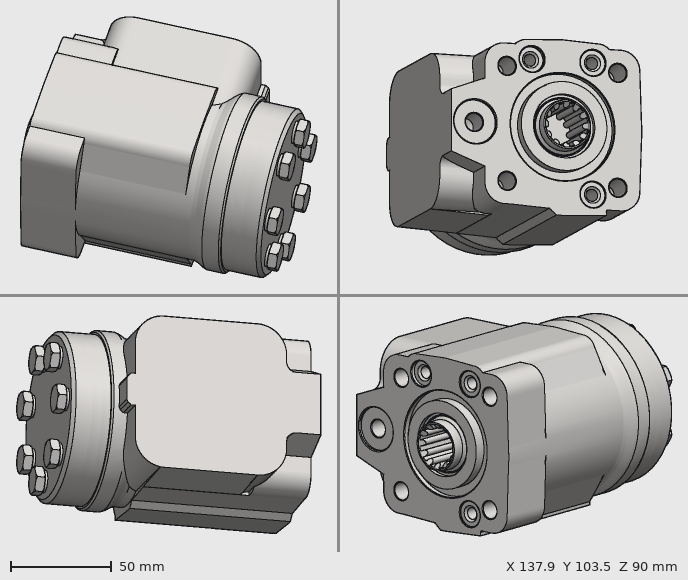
import cadquery as cq
import math


front_block_length = 28.4
pad_end = 83.2
neck_start = 87.5
cone_start = 89.8
cone_start_radius = 42.5
cone_end = 93.4
cone_end_radius = 44.5
flange_start = 94.8
housing_end = 104.3
barrel_radius = 41.8
flange_radius = 90.0 / 2
flange_chamfer = 1.0

block_half = 40.7
block_corner_radius = 10.0
side_flat_half = 4.5

top_pad_ridge = 44.1
top_pad_edge = (18.5, 43.2)
top_pad_shoulder = (23.5, 41.7)
top_pad_flank_top = (26.2, 38.0)
top_pad_foot_z = 25.1
bottom_pad_ridge = 44.8
bottom_pad_step_y = 23.0
bottom_pad_step_z = 43.5
bottom_pad_flank_top = (23.0, 41.7)
bottom_pad_foot_z = 26.6
bottom_pad_inner_top = (3.2, 44.8)
bottom_pad_inner_foot = (6.9, 41.7)
bottom_pad_inner_end = (27.6, 40.7)

port_face_y = 103.5 - flange_radius
port_half_height = 39.3
port_start = 17.8
port_end = 96.1
port_corner_radius = 14.9
port_wedge_root_z = 41.8
arm_tip_half = 15.7
arm_root_half = 22.3
arm_fillet = 5.1
tab_bevel = (98.3, 8.3)
tab_bevel_middle = (99.9, 6.9)
tab_tip = (100.5, 5.5)

mount_spacing = 58.2
mount_diameter = 9.0
mount_chamfer = 0.4
mount_depth = 19.3
screw_y = 16.0
screw_z = 33.4
screw_recess_diameter = 13.0
screw_recess_chamfer = 0.4
screw_recess_depth = 2.3
shallow_screw_recess_depth = 0.7
screw_hole_mouth = 8.4
screw_hole_diameter = 6.0
screw_depth = 19.3
plug_y = 45.8
plug_recess_diameter = 22.0
plug_recess_mouth = 23.0
plug_recess_depth = 1.7
plug_hole_diameter = 9.0
plug_hole_chamfer = 0.4
plug_depth = 16.5
drill_point_angle = 118.0

boss_height = 2.5
boss_diameter = 45.0
ring_recess_diameter = 55.2
ring_recess_depth = 3.5
ring_recess_chamfer = 0.4
seat_mouth_diameter = 32.3
seat_mouth_depth = 2.5
seat_clearance_diameter = 29.7
seat_clearance_depth = 1.4

shaft_diameter = 25.4
shaft_front = -7.3
shaft_back = 27.6
shaft_taper_length = 2.3
shaft_taper_radial = 0.4
collar_diameter = 28.4
spline_root_diameter = 22.0
spline_mouth_diameter = 23.0
spline_tip_diameter = 17.7
spline_tooth_width = 3.2
spline_count = 12
bore_depth = 27.6

pack_diameter = 86.0
spacer_end = 108.5
gear_ring_end = 113.8
cover_end = 124.3
cover_chamfer = 1.9
bolt_count = 7
bolt_circle_radius = 32.1
bolt_collar_diameter = 11.5
bolt_collar_end = 125.8
bolt_head_flats = 13.0
bolt_end = 130.6
bolt_edge_chamfer = 0.7


def barrel_y(z):
    """Distance from the XZ plane to the barrel surface at a height z."""
    return math.sqrt(barrel_radius**2 - z**2)


def cylinder_x(diameter, start, end, y=0.0, z=0.0):
    """Round bar parallel to X between two axial positions."""
    return cq.Workplane("YZ", origin=(start, y, z)).circle(diameter / 2).extrude(end - start)


def cone_x(start_diameter, end_diameter, start, end, y=0.0, z=0.0):
    """Cone frustum parallel to X; an end diameter of zero gives a point."""
    profile = [(start, 0), (start, start_diameter / 2), (end, end_diameter / 2)]
    if end_diameter > 0:
        profile.append((end, 0))
    cone = cq.Workplane("XY").polyline(profile).close().revolve(360, (0, 0, 0), (1, 0, 0))
    return cone.translate((0, y, z))


def drilled_hole(diameter, start, end, y, z):
    """Blind hole with a conical drill point past its full-diameter depth."""
    point_length = diameter / 2 / math.tan(math.radians(drill_point_angle / 2))
    point = cone_x(diameter, 0, end, end + point_length, y, z)
    return cylinder_x(diameter, start, end, y, z).union(point)


def make_barrel():
    profile = [
        (0, 0),
        (0, barrel_radius),
        (neck_start, barrel_radius),
        (cone_start, cone_start_radius),
        (cone_end, cone_end_radius),
        (flange_start, flange_radius),
        (housing_end - flange_chamfer, flange_radius),
        (housing_end, flange_radius - flange_chamfer),
        (housing_end, 0),
    ]
    return cq.Workplane("XY").polyline(profile).close().revolve(360, (0, 0, 0), (1, 0, 0))


def make_front_block():
    square = (
        cq.Workplane("YZ")
        .rect(2 * block_half, 2 * block_half)
        .extrude(front_block_length)
        .edges("|X")
        .fillet(block_corner_radius)
    )
    corner_z = block_half - block_corner_radius
    bulge_y = -barrel_y(side_flat_half)
    bulge = (
        cq.Workplane("YZ")
        .polyline([
            (-block_half, corner_z),
            (bulge_y, side_flat_half),
            (bulge_y, -side_flat_half),
            (-block_half, -corner_z),
        ])
        .close()
        .extrude(front_block_length)
    )
    return square.union(bulge)


def make_top_pad():
    foot = (barrel_y(top_pad_foot_z), top_pad_foot_z)

    def left(point):
        return (-point[0], point[1])

    return (
        cq.Workplane("YZ")
        .moveTo(*left(foot))
        .lineTo(*left(top_pad_flank_top))
        .threePointArc(left(top_pad_shoulder), left(top_pad_edge))
        .lineTo(0, top_pad_ridge)
        .lineTo(*top_pad_edge)
        .threePointArc(top_pad_shoulder, top_pad_flank_top)
        .lineTo(*foot)
        .close()
        .extrude(pad_end)
    )


def make_bottom_pad():
    return (
        cq.Workplane("YZ")
        .polyline([
            (-barrel_y(bottom_pad_foot_z), -bottom_pad_foot_z),
            (-bottom_pad_flank_top[0], -bottom_pad_flank_top[1]),
            (-bottom_pad_step_y, -bottom_pad_step_z),
            (0, -bottom_pad_ridge),
            (bottom_pad_inner_top[0], -bottom_pad_inner_top[1]),
            (bottom_pad_inner_foot[0], -bottom_pad_inner_foot[1]),
            (bottom_pad_inner_end[0], -bottom_pad_inner_end[1]),
            (bottom_pad_inner_end[0], -bottom_pad_foot_z),
        ])
        .close()
        .extrude(pad_end)
    )


def make_port_block():
    """Round-cornered block with a shallow wedge under it, thickest at the shaft axis."""
    block = (
        cq.Workplane("XZ", origin=((port_start + port_end) / 2, 0, 0))
        .rect(port_end - port_start, 2 * port_half_height)
        .extrude(-port_face_y)
        .edges("|Y")
        .fillet(port_corner_radius)
    )
    wedge_start = port_start + port_corner_radius
    wedge = (
        cq.Workplane("YZ", origin=(wedge_start, 0, 0))
        .polyline([
            (0, 0),
            (0, -port_wedge_root_z),
            (port_face_y, -port_half_height),
        ])
        .close()
        .extrude(pad_end - wedge_start)
    )
    return block.union(wedge)


def make_port_arm():
    """Tapering arm from the front face to the port block, filleted where it meets the block."""
    root_y = block_half
    taper = (
        cq.Workplane("YZ")
        .polyline([
            (root_y, -arm_root_half),
            (port_face_y, -arm_tip_half),
            (port_face_y, arm_tip_half),
            (root_y, arm_root_half),
        ])
        .close()
        .extrude(port_start)
    )
    arm = taper
    for side in (1, -1):
        corner_z = side * arm_tip_half
        fillet_top = side * (arm_tip_half + arm_fillet)
        arc_x = port_start - arm_fillet * (1 - math.sqrt(0.5))
        arc_z = side * (arm_tip_half + arm_fillet * (1 - math.sqrt(0.5)))
        web = (
            cq.Workplane("XZ", origin=(0, root_y, 0))
            .moveTo(port_start - arm_fillet, corner_z)
            .threePointArc((arc_x, arc_z), (port_start, fillet_top))
            .lineTo(port_start, corner_z)
            .close()
            .extrude(-(port_face_y - root_y))
        )
        arm = arm.union(web)
    return arm


def make_port_tab():
    """Short tab with bevelled corners that carries the port face past the end of the block."""
    upper = [tab_bevel, tab_bevel_middle, tab_tip]
    lower = [(x, -z) for x, z in reversed(upper)]
    root_x = port_end - port_corner_radius
    root = [(root_x, -tab_bevel[1]), (root_x, tab_bevel[1])]
    return cq.Workplane("XZ").polyline(upper + lower + root).close().extrude(-port_face_y)


def make_front_holes():
    holes = []
    half = mount_spacing / 2
    for y in (half, -half):
        for z in (half, -half):
            holes.append(drilled_hole(mount_diameter, 0, mount_depth, y, z))
            mouth = mount_diameter + 2 * mount_chamfer
            holes.append(cone_x(mouth, mount_diameter, 0, mount_chamfer, y, z))

    screws = (
        (screw_y, screw_z, screw_recess_depth),
        (-screw_y, screw_z, shallow_screw_recess_depth),
        (-screw_y, -screw_z, shallow_screw_recess_depth),
    )
    for y, z, floor in screws:
        mouth = screw_recess_diameter + 2 * screw_recess_chamfer
        taper = (screw_hole_mouth - screw_hole_diameter) / 2
        holes.append(cone_x(mouth, screw_recess_diameter, 0, screw_recess_chamfer, y, z))
        holes.append(cylinder_x(screw_recess_diameter, 0, floor, y, z))
        holes.append(cone_x(screw_hole_mouth, screw_hole_diameter, floor, floor + taper, y, z))
        holes.append(drilled_hole(screw_hole_diameter, 0, screw_depth, y, z))

    floor = plug_recess_depth
    taper = (plug_recess_mouth - plug_recess_diameter) / 2
    mouth = plug_hole_diameter + 2 * plug_hole_chamfer
    holes.append(cone_x(plug_recess_mouth, plug_recess_diameter, 0, taper, plug_y))
    holes.append(cylinder_x(plug_recess_diameter, 0, floor, plug_y))
    holes.append(cone_x(mouth, plug_hole_diameter, floor, floor + plug_hole_chamfer, plug_y))
    holes.append(drilled_hole(plug_hole_diameter, 0, plug_depth, plug_y, 0))
    return holes


def make_housing():
    housing = make_barrel()
    for feature in (
        make_front_block(),
        make_top_pad(),
        make_bottom_pad(),
        make_port_block(),
        make_port_arm(),
        make_port_tab(),
    ):
        housing = housing.union(feature)
    for hole in make_front_holes():
        housing = housing.cut(hole)

    ring_floor_diameter = ring_recess_diameter - 2 * ring_recess_chamfer
    housing = housing.cut(
        cone_x(ring_recess_diameter, ring_floor_diameter, 0, ring_recess_chamfer)
    )
    housing = housing.cut(cylinder_x(ring_floor_diameter, 0, ring_recess_depth))
    housing = housing.union(cylinder_x(boss_diameter, -boss_height, ring_recess_depth))

    mouth_end = seat_mouth_depth - boss_height
    housing = housing.cut(cylinder_x(seat_mouth_diameter, -boss_height, mouth_end))
    clearance_end = mouth_end + seat_clearance_depth
    housing = housing.cut(cylinder_x(seat_clearance_diameter, mouth_end, clearance_end))
    return housing.cut(cylinder_x(collar_diameter, mouth_end, shaft_back))


def make_spline_tooth(start, end):
    """One round-nosed inward tooth at the top of the bore."""
    nose_radius = spline_tooth_width / 2
    nose_z = spline_tip_diameter / 2 + nose_radius
    foot_z = (spline_root_diameter + shaft_diameter) / 4
    return (
        cq.Workplane("YZ", origin=(start, 0, 0))
        .moveTo(-nose_radius, foot_z)
        .lineTo(-nose_radius, nose_z)
        .threePointArc((0, spline_tip_diameter / 2), (nose_radius, nose_z))
        .lineTo(nose_radius, foot_z)
        .close()
        .extrude(end - start)
    )


def make_shaft():
    collar_rise = (collar_diameter - shaft_diameter) / 2
    collar_start = seat_mouth_depth - boss_height
    profile = [
        (shaft_front, 0),
        (shaft_front, shaft_diameter / 2 - shaft_taper_radial),
        (shaft_front + shaft_taper_length, shaft_diameter / 2),
        (collar_start - collar_rise, shaft_diameter / 2),
        (collar_start, collar_diameter / 2),
        (shaft_back, collar_diameter / 2),
        (shaft_back, 0),
    ]
    shaft = cq.Workplane("XY").polyline(profile).close().revolve(360, (0, 0, 0), (1, 0, 0))
    bore_end = shaft_front + bore_depth
    shaft = shaft.cut(cylinder_x(spline_root_diameter, shaft_front, bore_end))
    tooth = make_spline_tooth(shaft_front, bore_end)
    for index in range(spline_count):
        angle = index * 360 / spline_count
        shaft = shaft.union(tooth.rotate((0, 0, 0), (1, 0, 0), angle))

    lead_in = (spline_mouth_diameter - spline_tip_diameter) / 2
    return shaft.cut(
        cone_x(spline_mouth_diameter, spline_tip_diameter, shaft_front, shaft_front + lead_in)
    )


def make_bolt_head(y, z):
    """Collar and hexagon with two corners pointing along Y."""
    corner_diameter = bolt_head_flats / math.cos(math.pi / 6)
    hexagon = (
        cq.Workplane("YZ", origin=(bolt_collar_end, y, z))
        .polygon(6, corner_diameter)
        .extrude(bolt_end - bolt_collar_end)
    )
    blank = cylinder_x(corner_diameter, bolt_collar_end, bolt_end, y, z)
    blank = blank.faces("<X or >X").chamfer(bolt_edge_chamfer)
    collar = cylinder_x(bolt_collar_diameter, cover_end, bolt_collar_end, y, z)
    return hexagon.intersect(blank).union(collar)


def make_gear_pack():
    """Spacer plate, gear ring and end cover stacked behind the housing, with the bolt heads."""
    pack = cylinder_x(pack_diameter, gear_ring_end, cover_end).faces(">X").chamfer(cover_chamfer)
    for start, end in ((spacer_end, gear_ring_end), (housing_end, spacer_end)):
        pack = pack.union(cylinder_x(pack_diameter, start, end), clean=False)
    for index in range(bolt_count):
        angle = 2 * math.pi * index / bolt_count
        y = bolt_circle_radius * math.cos(angle)
        z = bolt_circle_radius * math.sin(angle)
        pack = pack.union(make_bolt_head(y, z), clean=False)
    return pack


housing = make_housing()
shaft = make_shaft()
gear_pack = make_gear_pack()

result = cq.Compound.makeCompound([housing.val(), shaft.val(), gear_pack.val()])